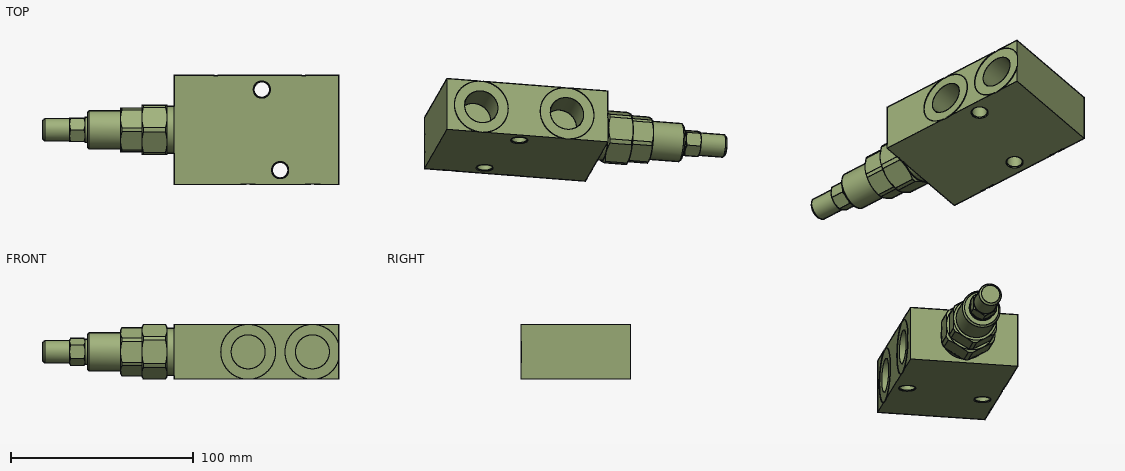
import cadquery as cq
import math

BLOCK_WIDTH = 60.0
BLOCK_HEIGHT = 30.0

STEM_START = 0.0
LOCKNUT_START = 14.7
NECK_START = 23.2
SLEEVE_START = 24.5
SMALL_HEX_START = 42.6
LARGE_HEX_START = 54.3
COLLAR_START = 68.0
BLOCK_START = 72.0
BLOCK_END = 162.0

STEM_DIAMETER = 12.5
STEM_CHAMFER = 1.1
NECK_DIAMETER = 14.0
SLEEVE_DIAMETER = 21.0
SLEEVE_CHAMFER = 1.0
COLLAR_DIAMETER = 26.0

LOCKNUT_FLATS = 13.0
LOCKNUT_CORNERS = LOCKNUT_FLATS / math.cos(math.radians(30))
SMALL_HEX_FLATS = 24.0
SMALL_HEX_CORNERS = 26.5
LARGE_HEX_FLATS = 27.0
LARGE_HEX_CORNERS = BLOCK_HEIGHT
HEX_CHAMFER_ANGLE = 30.0

PORT_DIAMETER = 18.6
PORT_DEPTH = 19.5
SPOTFACE_OVERCUT = 0.08
SPOTFACE_DIAMETER = BLOCK_HEIGHT + SPOTFACE_OVERCUT
SPOTFACE_DEPTH = 0.3
FRONT_PORTS_X = (112.5, 147.6)
BACK_PORTS_X = (94.8, 142.7)

MOUNT_DIAMETER = 8.5
MOUNT_CHAMFER = 0.5
MOUNT_EDGE_DISTANCE = 8.0
MOUNT_Y = BLOCK_WIDTH / 2 - MOUNT_EDGE_DISTANCE
MOUNT_CENTRES = ((119.9, MOUNT_Y), (130.0, -MOUNT_Y))


def section_plane(x):
    """Workplane across the cartridge axis at station x."""
    return cq.Workplane("YZ", origin=(x, 0, 0))


def round_section(start, end, diameter):
    return section_plane(start).circle(diameter / 2).extrude(end - start)


def hex_section(start, end, flats, corner_diameter, chamfer_far_end=True):
    """Hexagon with corners up and down, turned to a corner diameter.

    Its ends are turned to cones that meet the end faces at the width across flats.
    """
    prism = (
        section_plane(start)
        .transformed(rotate=(0, 0, 90))
        .polygon(6, flats / math.cos(math.radians(30)))
        .extrude(end - start)
    )
    end_radius = flats / 2
    corner_radius = corner_diameter / 2
    cone_length = (corner_radius - end_radius) * math.tan(math.radians(HEX_CHAMFER_ANGLE))
    profile = [(start, 0), (start, end_radius), (start + cone_length, corner_radius)]
    if chamfer_far_end:
        profile += [(end - cone_length, corner_radius), (end, end_radius), (end, 0)]
    else:
        profile += [(end, corner_radius), (end, 0)]
    turned_blank = cq.Workplane("XY").polyline(profile).close().revolve(360, (0, 0, 0), (1, 0, 0))
    return prism.intersect(turned_blank)


def make_cartridge():
    stem = round_section(STEM_START, LOCKNUT_START, STEM_DIAMETER).faces("<X").chamfer(STEM_CHAMFER)
    locknut = hex_section(LOCKNUT_START, NECK_START, LOCKNUT_FLATS, LOCKNUT_CORNERS)
    neck = round_section(NECK_START, SLEEVE_START, NECK_DIAMETER)
    sleeve = round_section(SLEEVE_START, SMALL_HEX_START, SLEEVE_DIAMETER).faces("<X").chamfer(SLEEVE_CHAMFER)
    small_hex = hex_section(
        SMALL_HEX_START, LARGE_HEX_START, SMALL_HEX_FLATS, SMALL_HEX_CORNERS, chamfer_far_end=False
    )
    large_hex = hex_section(LARGE_HEX_START, COLLAR_START, LARGE_HEX_FLATS, LARGE_HEX_CORNERS)
    collar = round_section(COLLAR_START, BLOCK_START, COLLAR_DIAMETER)
    return stem.union(locknut).union(neck).union(sleeve).union(small_hex).union(large_hex).union(collar)


def cut_ports(block, side, centres_x):
    """Cut spotfaced blind ports into the long side named by a face selector."""
    return (
        block.faces(side)
        .workplane(origin=(0, 0, 0))
        .pushPoints([(x if side == "<Y" else -x, 0) for x in centres_x])
        .cboreHole(PORT_DIAMETER, SPOTFACE_DIAMETER, SPOTFACE_DEPTH, PORT_DEPTH)
    )


def cut_mounting_holes(block):
    """Cut through holes, countersunk by a small chamfer at both ends."""
    half_height = BLOCK_HEIGHT / 2
    radius = MOUNT_DIAMETER / 2
    mouth_radius = radius + MOUNT_CHAMFER
    chamfer_start = half_height - MOUNT_CHAMFER
    profile = [
        (0, -half_height),
        (mouth_radius, -half_height),
        (radius, -chamfer_start),
        (radius, chamfer_start),
        (mouth_radius, half_height),
        (0, half_height),
    ]
    cutter = cq.Workplane("XZ").polyline(profile).close().revolve(360, (0, 0, 0), (0, 1, 0))
    for x, y in MOUNT_CENTRES:
        block = block.cut(cutter.translate((x, y, 0)))
    return block


def make_block():
    block = section_plane(BLOCK_START).rect(BLOCK_WIDTH, BLOCK_HEIGHT).extrude(BLOCK_END - BLOCK_START)
    block = cut_ports(block, "<Y", FRONT_PORTS_X)
    block = cut_ports(block, ">Y", BACK_PORTS_X)
    return cut_mounting_holes(block)


result = make_block().union(make_cartridge())